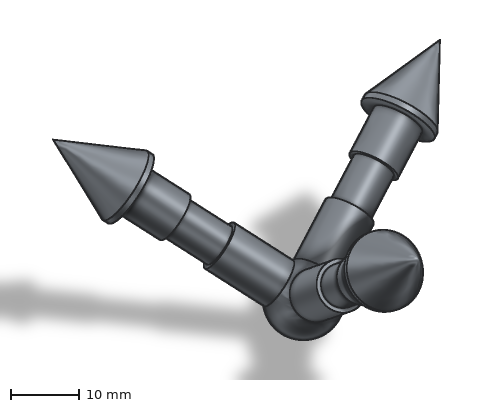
import cadquery as cq
import math

ball_radius = 6.0

arm_count = 3
first_azimuth = -15.0
elevation = math.degrees(math.atan(1 / math.sqrt(2)))

shank_radius = 4.0
neck_radius = 3.3
head_radius = ball_radius

root_length = 15.1
neck_length = 8.0
collar_length = 8.0
rim_length = 1.0
tip_distance = 45.0

neck_start = root_length
collar_start = neck_start + neck_length
rim_start = collar_start + collar_length
cone_start = rim_start + rim_length


def make_arm():
    """Revolve the stepped, arrow-headed arm about Z, with its tip pointing up."""
    half_profile = [
        (0, 0),
        (shank_radius, 0),
        (shank_radius, neck_start),
        (neck_radius, neck_start),
        (neck_radius, collar_start),
        (shank_radius, collar_start),
        (shank_radius, rim_start),
        (head_radius, rim_start),
        (head_radius, cone_start),
        (0, tip_distance),
    ]
    return cq.Workplane("XZ").polyline(half_profile).close().revolve(360, (0, 0), (0, 1))


def aim_arm(arm, azimuth):
    """Tilt an upright arm to the common elevation, then turn it about Z."""
    tilted = arm.rotate((0, 0, 0), (0, 1, 0), 90 - elevation)
    return tilted.rotate((0, 0, 0), (0, 0, 1), azimuth)


result = cq.Workplane("XY").sphere(ball_radius)
upright_arm = make_arm()
for index in range(arm_count):
    azimuth = first_azimuth + index * 360 / arm_count
    result = result.union(aim_arm(upright_arm, azimuth))